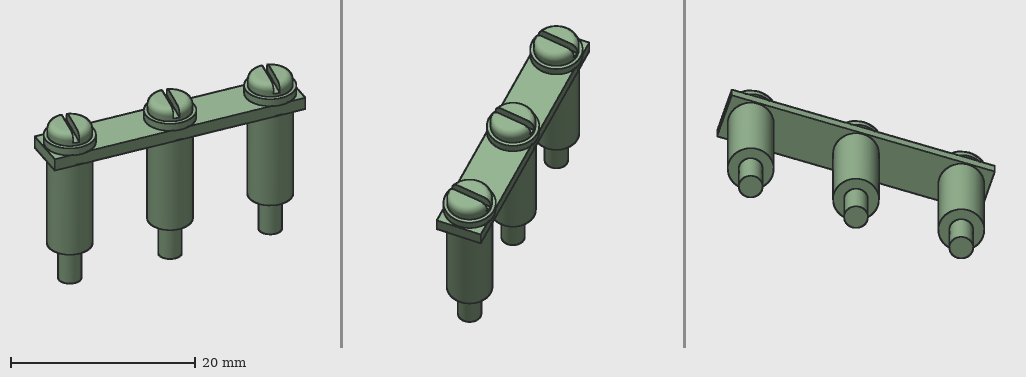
import cadquery as cq

bar_width = 5.2
bar_length = 30.0
bar_thickness = 1.45
post_count = 3
post_spacing = 12.0

sleeve_diameter = 5.0
sleeve_length = 11.45

washer_diameter = 5.7
washer_thickness = 0.9
washer_clearance = 0.05

shank_diameter = 2.6
shank_projection = 4.45

head_diameter = 4.9
head_height = 1.48
head_edge_radius = 0.8
slot_width = 0.7
slot_depth = 1.1
slot_angle = -8.0

sleeve_bottom = -sleeve_length
shank_bottom = sleeve_bottom - shank_projection
washer_bottom = bar_thickness
washer_top = washer_bottom + washer_thickness
head_bottom = washer_top + washer_clearance
head_top = head_bottom + head_height

post_positions = [(i - (post_count - 1) / 2) * post_spacing for i in range(post_count)]


def make_disc(diameter, bottom, top):
    """Cylinder on the Z axis between two heights."""
    return cq.Workplane("XY").workplane(offset=bottom).circle(diameter / 2).extrude(top - bottom)


def make_ring(outer_diameter, bottom, top):
    """Cylinder on the Z axis with a through hole that fits the screw shank."""
    return make_disc(outer_diameter, bottom, top).cut(make_disc(shank_diameter, bottom, top))


def make_bar():
    """Flat bar along Y with one shank hole per post."""
    bar = cq.Workplane("XY").box(bar_width, bar_length, bar_thickness, centered=(True, True, False))
    for y in post_positions:
        bar = bar.cut(make_disc(shank_diameter, 0, bar_thickness).translate((0, y, 0)))
    return bar


def make_sleeve():
    """Spacer tube under the bar."""
    return make_ring(sleeve_diameter, sleeve_bottom, 0)


def make_washer():
    """Flat washer resting on the bar, under the screw head."""
    return make_ring(washer_diameter, washer_bottom, washer_top)


def make_screw():
    """Screw with a rounded, slotted head and a plain shank."""
    head = make_disc(head_diameter, head_bottom, head_top)
    head = head.faces(">Z").edges().fillet(head_edge_radius)
    slot = (
        cq.Workplane("XY")
        .workplane(offset=head_top - slot_depth)
        .rect(2 * head_diameter, slot_width)
        .extrude(slot_depth)
        .rotate((0, 0, 0), (0, 0, 1), slot_angle)
    )
    shank = make_disc(shank_diameter, shank_bottom, head_bottom)
    return head.cut(slot).union(shank)


bar = make_bar()

sleeves = []
washers = []
screws = []
for post_y in post_positions:
    post_offset = (0, post_y, 0)
    sleeves.append(make_sleeve().translate(post_offset).val())
    washers.append(make_washer().translate(post_offset).val())
    screws.append(make_screw().translate(post_offset).val())

result = cq.Compound.makeCompound([bar.val(), *sleeves, *washers, *screws])